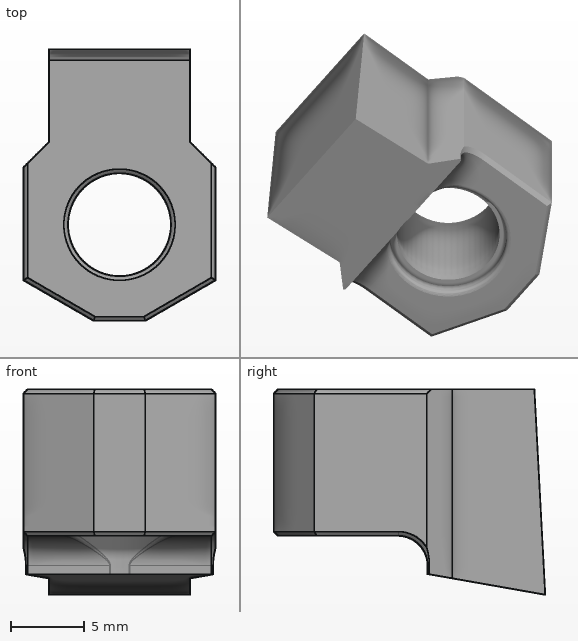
import cadquery as cq
import math

body_half_width = 6.55
front_reach = 6.55
front_flat_half_width = 1.75
flank_angle = 30
shoulder_start_y = 3.88
neck_half_width = 4.81

body_height = 9.99
total_height = 14.0
back_top_y = 11.21
back_bottom_y = 11.95
sole_angle = 10
heel_y = 3.92
heel_fillet = 2.0

bore_radius = 3.5
relief_radius = 3.98
relief_depth = 1.0
relief_rounding = 0.3
edge_chamfer = 0.3

flank_run = body_half_width - front_flat_half_width
flank_end_y = -front_reach + flank_run * math.tan(math.radians(flank_angle))
shoulder_width = body_half_width - neck_half_width
shoulder_end_y = shoulder_start_y + shoulder_width
heel_bottom_z = -total_height + (back_bottom_y - heel_y) * math.tan(math.radians(sole_angle))
tolerance = 0.002
cutter_overhang = 1.85


def plan_prism():
    """Head with slanted front flanks and straight sides running to the back."""
    right_side = [
        (front_flat_half_width, -front_reach),
        (body_half_width, flank_end_y),
        (body_half_width, back_bottom_y),
    ]
    left_side = [(-x, y) for x, y in reversed(right_side)]
    return cq.Workplane("XY").polyline(right_side + left_side).close().extrude(-total_height)


def side_prism():
    """Side profile: raised head, filleted heel, sloping sole and leaning back."""
    arc_y = heel_y - heel_fillet
    arc_z = -body_height - heel_fillet
    arc_offset = heel_fillet * math.sqrt(0.5)
    return (
        cq.Workplane("YZ")
        .moveTo(-front_reach, 0)
        .lineTo(-front_reach, -body_height)
        .lineTo(arc_y, -body_height)
        .threePointArc((arc_y + arc_offset, arc_z + arc_offset), (heel_y, arc_z))
        .lineTo(heel_y, heel_bottom_z)
        .lineTo(back_bottom_y, -total_height)
        .lineTo(back_top_y, 0)
        .close()
        .extrude(body_half_width, both=True)
    )


def is_rim_edge(edge):
    """Pick the top and bottom rims of the head and the outer corners of the heel."""
    middle = edge.Center()
    box = edge.BoundingBox()
    on_side = abs(abs(middle.x) - body_half_width) < tolerance
    on_front = middle.y < flank_end_y
    on_top = box.zmin > -tolerance
    on_underside = box.zmax < -body_height + tolerance and box.ymax < heel_y + tolerance
    on_lower_side = on_side and on_underside
    on_head_rim = on_top and (on_side or on_front)
    on_lower_front = on_underside and on_front
    return on_head_rim or on_lower_front or on_lower_side


def shoulder_cutter(side):
    """Material beside the neck, behind one 45 degree shoulder; side is +1 or -1."""
    outline = [
        (side * (body_half_width + cutter_overhang), shoulder_start_y - cutter_overhang),
        (side * neck_half_width, shoulder_end_y),
        (side * neck_half_width, back_bottom_y + cutter_overhang),
        (side * (body_half_width + cutter_overhang), back_bottom_y + cutter_overhang),
    ]
    return cq.Workplane("XY").polyline(outline).close().extrude(-total_height)


def relief_mouth_edges(body):
    """Edges where the relief cylinder breaks out through the underside and the heel."""
    edges = []
    for edge in body.edges().vals():
        box = edge.BoundingBox()
        ends = (edge.startPoint(), edge.endPoint())
        on_relief = all(abs(math.hypot(end.x, end.y) - relief_radius) < tolerance for end in ends)
        on_mouth = box.zmax < -body_height + tolerance and box.ymax < heel_y + tolerance
        if on_relief and on_mouth:
            edges.append(edge)
    return edges


body = plan_prism().intersect(side_prism())
body = body.newObject([edge for edge in body.edges().vals() if is_rim_edge(edge)]).chamfer(edge_chamfer)
for side in (1, -1):
    body = body.cut(shoulder_cutter(side))

body = body.cut(cq.Workplane("XY").circle(bore_radius).extrude(-total_height))
body = body.faces(">Z").edges("%CIRCLE").chamfer(edge_chamfer)

relief_top_z = -body_height + relief_depth
relief = cq.Workplane("XY").workplane(offset=relief_top_z).circle(relief_radius).extrude(-total_height)
body = body.cut(relief)

result = body.newObject(relief_mouth_edges(body)).fillet(relief_rounding)